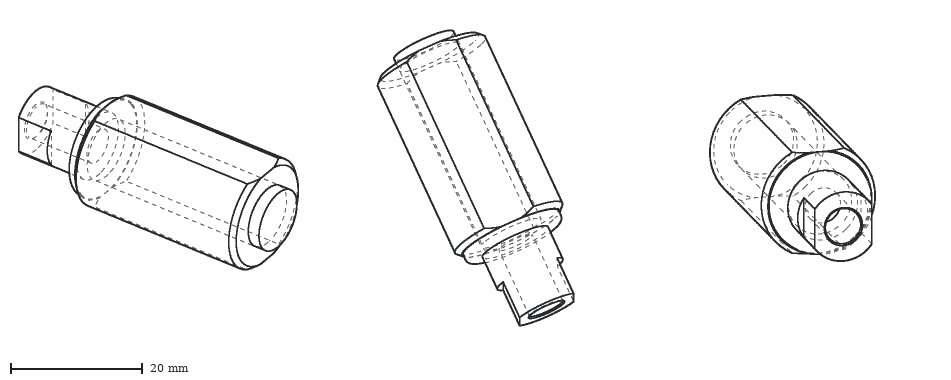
import cadquery as cq

total_length = 45.0
collar_start = 11.48
sleeve_start = 13.05
boss_length = 2.0
sleeve_end = total_length - boss_length
sleeve_length = sleeve_end - sleeve_start

stem_diameter = 11.0
collar_diameter = 16.0
collar_fillet = 0.8
core_diameter = 10.0
wrench_width = 9.0
wrench_length = 6.05
bore_diameter = 5.6
bore_depth = collar_start
bore_chamfer = 0.22

sleeve_diameter = 18.0
sleeve_flat_width = collar_diameter
sleeve_chamfer = 0.8


def cylinder(start, end, diameter):
    """Cylinder on the X axis between two stations."""
    return cq.Workplane("YZ", origin=(start, 0, 0)).circle(diameter / 2).extrude(end - start)


def make_spindle():
    stem = cylinder(0, collar_start, stem_diameter)
    collar = cylinder(collar_start, sleeve_start, collar_diameter).faces("<X").edges().fillet(collar_fillet)
    core = cylinder(sleeve_start, total_length, core_diameter)

    wrench_end = cylinder(0, wrench_length, stem_diameter)
    flat_bar = cq.Workplane("XY").box(
        wrench_length, wrench_width, stem_diameter, centered=(False, True, True)
    )
    stem = stem.cut(wrench_end.cut(flat_bar))

    bore = cylinder(0, bore_depth, bore_diameter)
    mouth = cq.Workplane(
        cq.Solid.makeCone(
            bore_diameter / 2 + bore_chamfer,
            bore_diameter / 2,
            bore_chamfer,
            cq.Vector(0, 0, 0),
            cq.Vector(1, 0, 0),
        )
    )
    return stem.union(collar).union(core).cut(bore).cut(mouth)


def make_sleeve():
    round_bar = cylinder(sleeve_start, sleeve_end, sleeve_diameter).edges("%CIRCLE").chamfer(sleeve_chamfer)

    flat_bar = cq.Workplane("XY", origin=(sleeve_start, 0, 0)).box(
        sleeve_length, sleeve_diameter, sleeve_flat_width, centered=(False, True, True)
    )
    core_hole = cylinder(sleeve_start, sleeve_end, core_diameter)
    return round_bar.intersect(flat_bar).cut(core_hole)


spindle = make_spindle()
sleeve = make_sleeve()
result = cq.Compound.makeCompound([spindle.val(), sleeve.val()])